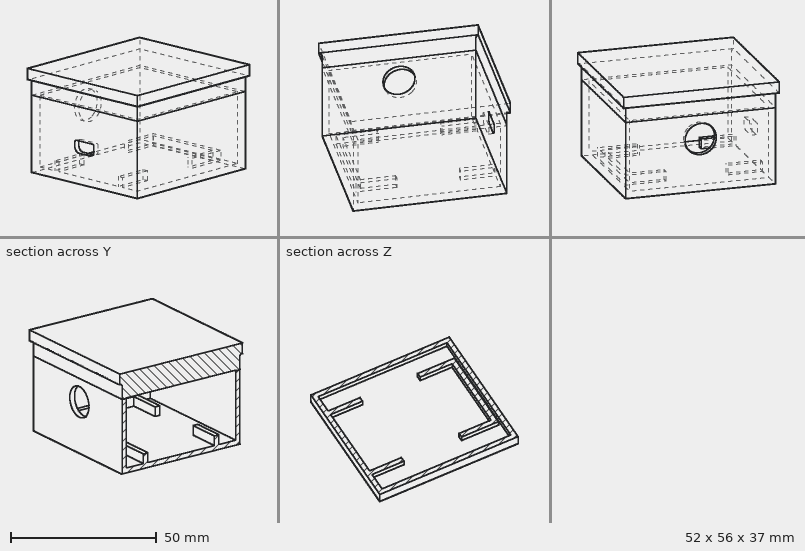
import cadquery as cq

case_x = 50.0
case_y = 54.0
wall = 2.0
floor_thickness = 2.0
total_height = 37.0

joint_z = 27.5
flange_overhang = 1.0
flange_height = 4.0
flange_fillet = 0.65
flange_bottom_z = total_height - flange_height
band_height = flange_bottom_z - joint_z

port_diameter = 11.24
port_z = 18.9

slot_width = 9.0
slot_top_z = 15.4
slot_bottom_z = 11.0
slot_top_radius = 0.75
slot_bottom_radius = 2.0

holder_width = 28.0
holder_stop_y = 22.15
rail_height = 3.5
rail_thickness = 2.0
rail_length = 12.4


def block(size_x, size_y, height, base_z):
    """A box centred on the Z axis, standing on base_z."""
    return cq.Workplane("XY").workplane(offset=base_z).rect(size_x, size_y).extrude(height)


def make_slot_cutter():
    """Slot outline with small upper and large lower corners, through the -Y wall."""
    height = slot_top_z - slot_bottom_z
    middle_y = -case_y / 2 + wall / 2
    slot = cq.Workplane("XY").box(slot_width, 2 * wall, height)
    slot = slot.edges("|Y and >Z").fillet(slot_top_radius)
    slot = slot.edges("|Y and <Z").fillet(slot_bottom_radius)
    return slot.translate((0, middle_y, (slot_top_z + slot_bottom_z) / 2))


def make_port_cutter():
    """Cylinder along X through the -X wall."""
    plane = cq.Workplane("YZ", origin=(-case_x / 2 - wall / 2, 0, port_z))
    return plane.circle(port_diameter / 2).extrude(2 * wall)


def make_board_holder():
    """Two front rails, two rear rails and the back stop joining the rear rails."""
    rail_x = (holder_width + rail_thickness) / 2
    front_y = -case_y / 2 + wall + rail_length / 2
    rear_y = holder_stop_y - rail_length / 2
    rails = (
        cq.Workplane("XY", origin=(0, 0, floor_thickness))
        .pushPoints([(side * rail_x, y) for side in (-1, 1) for y in (front_y, rear_y)])
        .rect(rail_thickness, rail_length)
        .extrude(rail_height)
    )
    stop = block(holder_width + 2 * rail_thickness, rail_thickness, rail_height, floor_thickness)
    return rails.union(stop.translate((0, holder_stop_y + rail_thickness / 2, 0)))


def make_case():
    shell = block(case_x, case_y, joint_z, 0)
    cavity = block(case_x - 2 * wall, case_y - 2 * wall, joint_z - floor_thickness, floor_thickness)
    shell = shell.cut(cavity).union(make_board_holder())
    return shell.cut(make_port_cutter()).cut(make_slot_cutter())


def make_lid():
    band = block(case_x, case_y, band_height, joint_z)
    flange_x = case_x + 2 * flange_overhang
    flange_y = case_y + 2 * flange_overhang
    flange = block(flange_x, flange_y, flange_height, flange_bottom_z)
    margin = flange_overhang / 2
    reach_x = case_x / 2 + margin
    reach_y = case_y / 2 + margin
    inner_corner = cq.selectors.BoxSelector(
        (-reach_x, -reach_y, flange_bottom_z - margin),
        (reach_x, reach_y, flange_bottom_z + margin),
    )
    return band.union(flange).edges(inner_corner).fillet(flange_fillet)


case = make_case()
lid = make_lid()
result = cq.Compound.makeCompound([case.val(), lid.val()])